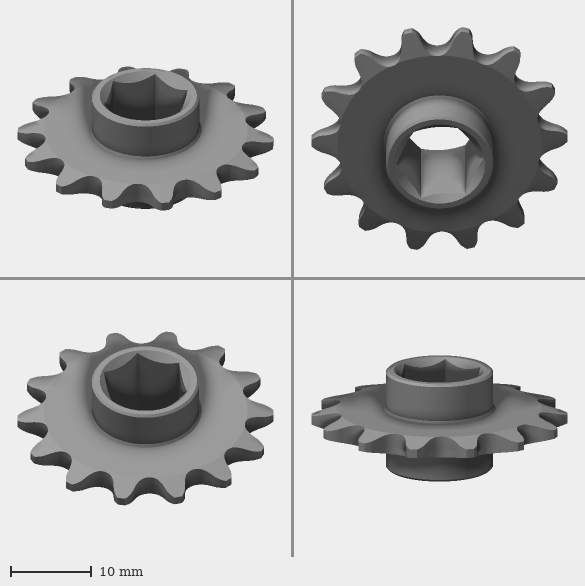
import cadquery as cq
import math

TEETH = 14
PITCH = 6.35
ROLLER_DIA = 3.3
SEAT_CLEARANCE = 0.1
TIP_RADIUS = 15.9

DISC_THICKNESS = 2.67
TIP_THICKNESS = 1.1
BEVEL_START_RADIUS = 12.68

HUB_RADIUS = 6.67
HUB_HEIGHT = 12.6
HUB_CHAMFER = 0.3
HUB_FLARE = 0.3
HEX_ACROSS_FLATS = 9.5
LEAD_IN_RADIUS = 5.7

PITCH_RADIUS = PITCH / (2 * math.sin(math.pi / TEETH))
HALF_TOOTH_ANGLE = math.radians(180 / TEETH)
SEAT_ANGLE = math.radians(35 + 60 / TEETH)
FLANK_SWEEP = math.radians(18 - 56 / TEETH)
FLANK_ANGLE = SEAT_ANGLE - FLANK_SWEEP

SEAT_RADIUS = (ROLLER_DIA + SEAT_CLEARANCE) / 2
FLANK_CENTRE_DISTANCE = 0.8 * ROLLER_DIA
FLANK_RADIUS = FLANK_CENTRE_DISTANCE + SEAT_RADIUS
TOPPING_CENTRE_DISTANCE = 1.4 * ROLLER_DIA
TOPPING_RADIUS = (
    FLANK_CENTRE_DISTANCE * math.cos(FLANK_SWEEP)
    + TOPPING_CENTRE_DISTANCE * math.cos(FLANK_ANGLE - HALF_TOOTH_ANGLE)
    - FLANK_RADIUS
)


def polar(centre, radius, angle):
    """Point at a distance and angle (radians) from a centre."""
    return (centre[0] + radius * math.cos(angle), centre[1] + radius * math.sin(angle))


def flank_points():
    """Points of the left flank of a gap, from the seat out to the tooth tip."""
    origin = (0, 0)
    flank_centre = polar(origin, FLANK_CENTRE_DISTANCE, SEAT_ANGLE)
    topping_centre = polar(origin, -TOPPING_CENTRE_DISTANCE, HALF_TOOTH_ANGLE)

    seat_end = polar(origin, -SEAT_RADIUS, SEAT_ANGLE)
    flank_middle = polar(flank_centre, -FLANK_RADIUS, SEAT_ANGLE - FLANK_SWEEP / 2)
    flank_end = polar(flank_centre, -FLANK_RADIUS, FLANK_ANGLE)
    topping_start = polar(topping_centre, TOPPING_RADIUS, FLANK_ANGLE)

    axis = (0, -PITCH_RADIUS)
    centre_side = topping_centre[0]
    centre_out = topping_centre[1] + PITCH_RADIUS
    centre_reach = math.hypot(centre_side, centre_out)
    crossing = math.acos(
        (TIP_RADIUS**2 + centre_reach**2 - TOPPING_RADIUS**2) / (2 * TIP_RADIUS * centre_reach)
    )
    tip = polar(axis, TIP_RADIUS, math.atan2(centre_out, centre_side) - crossing)
    tip_angle = math.atan2(tip[1] - topping_centre[1], tip[0] - topping_centre[0])
    topping_middle = polar(topping_centre, TOPPING_RADIUS, (FLANK_ANGLE + tip_angle) / 2)

    return [seat_end, flank_middle, flank_end, topping_start, topping_middle, tip]


def place(point, gap_angle, side=1):
    """Move a local gap point to its gap on the sprocket; side=-1 mirrors it to the right flank."""
    sideways = -side * point[0]
    outward = point[1] + PITCH_RADIUS
    return (
        outward * math.cos(gap_angle) - sideways * math.sin(gap_angle),
        outward * math.sin(gap_angle) + sideways * math.cos(gap_angle),
    )


def tooth_outline():
    """Closed outline of all teeth, running counterclockwise from gap to gap."""
    flank = flank_points()
    seat_bottom = (0, -SEAT_RADIUS)
    outline = cq.Workplane("XY").moveTo(*place(flank[-1], 0, side=-1))
    for gap in range(TEETH):
        gap_angle = gap * 2 * HALF_TOOTH_ANGLE
        next_gap_angle = gap_angle + 2 * HALF_TOOTH_ANGLE
        inward = [place(point, gap_angle, side=-1) for point in reversed(flank)]
        outward = [place(point, gap_angle) for point in flank]
        tooth_middle = polar((0, 0), TIP_RADIUS, gap_angle + HALF_TOOTH_ANGLE)
        outline = (
            outline.threePointArc(inward[1], inward[2])
            .lineTo(*inward[3])
            .threePointArc(inward[4], inward[5])
            .threePointArc(place(seat_bottom, gap_angle), outward[0])
            .threePointArc(outward[1], outward[2])
            .lineTo(*outward[3])
            .threePointArc(outward[4], outward[5])
            .threePointArc(tooth_middle, place(flank[-1], next_gap_angle, side=-1))
        )
    return outline.close()


def toothed_disc():
    """Disc with teeth that thin towards their tips on both faces."""
    half_disc = DISC_THICKNESS / 2
    half_tip = TIP_THICKNESS / 2
    teeth = tooth_outline().extrude(half_disc, both=True)
    envelope = (
        cq.Workplane("XZ")
        .moveTo(0, -half_disc)
        .lineTo(BEVEL_START_RADIUS, -half_disc)
        .lineTo(TIP_RADIUS, -half_tip)
        .lineTo(TIP_RADIUS, half_tip)
        .lineTo(BEVEL_START_RADIUS, half_disc)
        .lineTo(0, half_disc)
        .close()
        .revolve()
    )
    return teeth.intersect(envelope)


def hub():
    """Chamfered cylinder through the disc, flared where it leaves each face."""
    cylinder = cq.Workplane("XY").circle(HUB_RADIUS).extrude(HUB_HEIGHT / 2, both=True)
    cylinder = cylinder.edges().chamfer(HUB_CHAMFER)
    flare = (
        cq.Workplane("XY")
        .circle(HUB_RADIUS + HUB_FLARE)
        .extrude(DISC_THICKNESS / 2 + HUB_FLARE, both=True)
        .edges()
        .chamfer(HUB_FLARE)
    )
    return cylinder.union(flare)


def bore():
    """Hexagonal bore, corners on the X axis, with a lead-in cone at each end."""
    corner_diameter = HEX_ACROSS_FLATS / math.cos(math.pi / 6)
    half_height = HUB_HEIGHT / 2
    hexagon = cq.Workplane("XY").polygon(6, corner_diameter).extrude(half_height, both=True)
    lead_in = (
        cq.Workplane("XZ")
        .moveTo(0, half_height)
        .lineTo(LEAD_IN_RADIUS, half_height)
        .lineTo(0, half_height - LEAD_IN_RADIUS)
        .close()
        .revolve()
    )
    return hexagon.union(lead_in).union(lead_in.mirror("XY"))


result = toothed_disc().union(hub()).cut(bore())